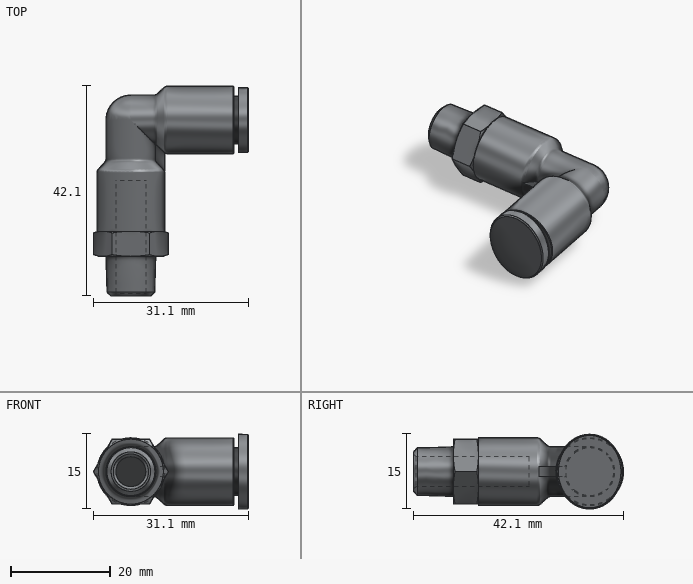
import cadquery as cq
import math


overall_length = 42.1
overall_width = 31.1
sleeve_diameter = 13.6
sleeve_radius = sleeve_diameter / 2
elbow_radius = 5.0
shoulder_length = 1.95
shoulder_angle = math.atan2(sleeve_radius - elbow_radius, shoulder_length)
shoulder_blend_radius = 1.0
leg_shoulder_start = 8.2
socket_shoulder_start = elbow_radius
gusset_thickness = 2.0

leg_end = overall_length - sleeve_radius
thread_length = 8.0
hex_length = 5.0
hex_sides = 6
hex_flats = 13.0
hex_corner_drop = 0.35
thread_root_radius = elbow_radius
thread_tip_radius = 4.8
thread_chamfer_length = 0.8
thread_face_radius = 3.95
hex_end = leg_end - thread_length
hex_start = hex_end - hex_length
hex_corners = hex_flats / math.cos(math.pi / hex_sides)

bore_radius = 3.0
bore_mouth_radius = 3.55
bore_countersink_depth = bore_mouth_radius - bore_radius
bore_depth = 23.15

socket_sleeve_end = 20.65
sleeve_edge_chamfer = 0.15
neck_radius = 4.8
ring_width = 2.05
ring_height = 15.0
ring_depth = 13.0
ring_edge_chamfer = 0.25
socket_end = overall_width - hex_corners / 2
ring_start = socket_end - ring_width


def cylinder(radius, start, end):
    """Cylinder on the Z axis between two heights."""
    return cq.Workplane("XY").workplane(offset=start).circle(radius).extrude(end - start)


def turned(outline):
    """Solid turned about the Z axis from (radius, height) corner points."""
    return cq.Workplane("XZ").polyline(outline).close().revolve(360, (0, 0), (0, 1))


def shouldered_leg(shoulder_start, sleeve_end):
    """Leg along +Z that widens through a blended cone from the elbow to the sleeve."""
    half_turn = shoulder_angle / 2
    tangent = shoulder_blend_radius * math.tan(half_turn)
    cone_out = tangent * math.sin(shoulder_angle)
    cone_along = tangent * math.cos(shoulder_angle)
    blend_out = shoulder_blend_radius * (1 - math.cos(half_turn))
    blend_along = shoulder_blend_radius * math.sin(half_turn) - tangent
    shoulder_end = shoulder_start + shoulder_length
    return (
        cq.Workplane("XZ")
        .lineTo(elbow_radius, 0)
        .lineTo(elbow_radius, shoulder_start - tangent)
        .threePointArc(
            (elbow_radius + blend_out, shoulder_start + blend_along),
            (elbow_radius + cone_out, shoulder_start + cone_along),
        )
        .lineTo(sleeve_radius - cone_out, shoulder_end - cone_along)
        .threePointArc(
            (sleeve_radius - blend_out, shoulder_end - blend_along),
            (sleeve_radius, shoulder_end + tangent),
        )
        .lineTo(sleeve_radius, sleeve_end)
        .lineTo(0, sleeve_end)
        .close()
        .revolve(360, (0, 0), (0, 1))
    )


def hexagon_collar():
    """Wrench hexagon whose corners are turned down to the flats at both ends."""
    flat_radius = hex_flats / 2
    corner_radius = hex_corners / 2
    blank = (
        cq.Workplane("XY")
        .workplane(offset=hex_start)
        .polygon(hex_sides, hex_corners)
        .extrude(hex_length)
    )
    envelope = turned([
        (0, hex_start),
        (flat_radius, hex_start),
        (corner_radius, hex_start + hex_corner_drop),
        (corner_radius, hex_end - hex_corner_drop),
        (flat_radius, hex_end),
        (0, hex_end),
    ])
    return blank.intersect(envelope)


def thread_stub():
    """Tapered thread envelope with a chamfered tip."""
    return turned([
        (0, hex_end),
        (thread_root_radius, hex_end),
        (thread_tip_radius, leg_end - thread_chamfer_length),
        (thread_face_radius, leg_end),
        (0, leg_end),
    ])


def countersunk_bore():
    """Blind bore with a conical mouth at the thread tip."""
    return turned([
        (0, leg_end - bore_depth),
        (bore_radius, leg_end - bore_depth),
        (bore_radius, leg_end - bore_countersink_depth),
        (bore_mouth_radius, leg_end),
        (0, leg_end),
    ])


def threaded_leg():
    """Complete threaded leg along +Z."""
    leg = shouldered_leg(leg_shoulder_start, hex_start)
    return leg.union(hexagon_collar()).union(thread_stub()).cut(countersunk_bore())


def tube_socket():
    """Complete tube socket along +Z, ending in an oval release ring."""
    sleeve = shouldered_leg(socket_shoulder_start, socket_sleeve_end)
    sleeve = sleeve.faces(">Z").edges().chamfer(sleeve_edge_chamfer)
    neck = cylinder(neck_radius, socket_sleeve_end, ring_start)
    ring = (
        cq.Workplane("XY")
        .workplane(offset=ring_start)
        .ellipse(ring_height / 2, ring_depth / 2)
        .extrude(ring_width)
        .faces(">Z")
        .edges()
        .chamfer(ring_edge_chamfer)
    )
    return sleeve.union(neck).union(ring)


leg = threaded_leg().rotate((0, 0, 0), (1, 0, 0), 90)
socket = tube_socket().rotate((0, 0, 0), (0, 1, 0), 90)
elbow_ball = cq.Workplane("XY").sphere(elbow_radius)

gusset_reach = leg_shoulder_start + shoulder_length
gusset = (
    cq.Workplane("XY")
    .center(sleeve_radius / 2, -gusset_reach / 2)
    .rect(sleeve_radius, gusset_reach)
    .extrude(gusset_thickness / 2, both=True)
)

result = elbow_ball.union(leg).union(socket).union(gusset)